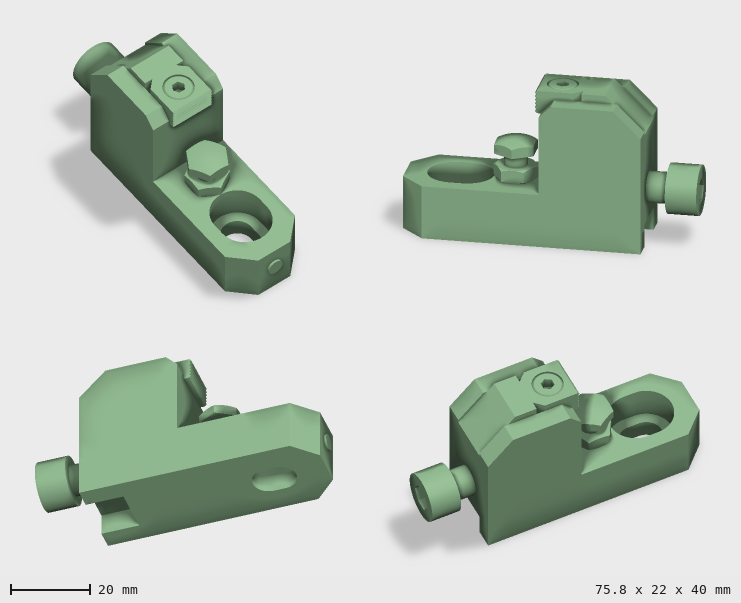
import cadquery as cq
import math


CUT_MARGIN = 0.75

HOUSING_LENGTH = 61.85
HOUSING_WIDTH = 22.0
HOUSING_HEIGHT = 38.0
TOWER_LENGTH = 26.0
LEDGE_HEIGHT = 14.0
FRONT_CHAMFER = 7.0
REAR_CHAMFER = 3.0
END_CHAMFER = 6.0
END_STUB_DIAMETER = 4.25
END_STUB_LENGTH = 0.6
END_STUB_HEIGHT = 8.0

MOUNT_X = 48.0
MOUNT_SLOT_WIDTH = 8.6
MOUNT_RECESS_WIDTH = 14.0
MOUNT_RECESS_DEPTH = 9.0
MOUNT_CENTRE_SPACING = 3.0

JAW_WIDTH = 12.0
JAW_BOTTOM = 6.0
JAW_TOP = 40.0
JAW_LENGTH = 28.0
JAW_CHAMFER = 10.0
LEG_THICKNESS = JAW_CHAMFER
ARM_THICKNESS = 6.0
ARM_BOTTOM = JAW_TOP - ARM_THICKNESS
TOOTH_COUNT = 6
TOOTH_PITCH = ARM_THICKNESS / TOOTH_COUNT
TOOTH_DEPTH = TOOTH_PITCH / 2
NOTCH_X = 16.0
NOTCH_SIZE = 2.3

SET_SCREW_X = 22.0
SET_SCREW_DIAMETER = 8.0
SET_SCREW_CHAMFER = 0.57
SET_SOCKET_FLATS = 3.0
SET_SOCKET_DEPTH = 3.0

CLAMP_SCREW_Z = LEDGE_HEIGHT
CLAMP_HEAD_DIAMETER = 12.95
CLAMP_HEAD_LENGTH = 8.0
CLAMP_SHANK_DIAMETER = 8.0
CLAMP_SHANK_LENGTH = 5.3
CLAMP_SOCKET_FLATS = 6.0
CLAMP_SOCKET_DEPTH = 4.0

STOP_X = 33.95
STOP_FLATS = 10.0
STOP_SHANK_DIAMETER = 6.0
STOP_SHANK_DEPTH = 8.0
STOP_HEAD_BOTTOM = 21.0
STOP_TOP = 25.0
STOP_DOME_RADIUS = 11.0
NUT_HEIGHT = 3.6
NUT_CHAMFER_ANGLE = 30


def hexagon_diameter(flats):
    """Diameter over the corners of a hexagon with the given size across flats."""
    return flats / math.cos(math.radians(30))


def hexagon_prism(flats, height, turn=0):
    """Upright hexagon on Z = 0 with a corner on the X axis, turned about Z."""
    prism = cq.Workplane("XY").polygon(6, hexagon_diameter(flats)).extrude(height)
    return prism.rotate((0, 0, 0), (0, 0, 1), turn)


def tooth_points():
    """Zigzag of V teeth down the end of the arm, from its top to its bottom."""
    root_x = JAW_LENGTH - TOOTH_DEPTH
    points = [(root_x, JAW_TOP)]
    for tooth in range(TOOTH_COUNT):
        tooth_top = JAW_TOP - tooth * TOOTH_PITCH
        points.append((JAW_LENGTH, tooth_top - TOOTH_PITCH / 2))
        points.append((root_x, tooth_top - TOOTH_PITCH))
    return points


def jaw_blank():
    """L-shaped jaw of leg and toothed arm, with a sloped upper front corner."""
    outline = [
        (LEG_THICKNESS, ARM_BOTTOM),
        (LEG_THICKNESS, JAW_BOTTOM),
        (0, JAW_BOTTOM),
        (0, JAW_TOP - JAW_CHAMFER),
        (JAW_CHAMFER, JAW_TOP),
        *tooth_points(),
    ]
    return cq.Workplane("XZ").polyline(outline).close().extrude(JAW_WIDTH / 2, both=True)


def slot_prism(width, bottom, top):
    """Round-ended upright prism at the mounting position."""
    return (
        cq.Workplane("XY", origin=(MOUNT_X, 0, bottom))
        .slot2D(MOUNT_CENTRE_SPACING + width, width)
        .extrude(top - bottom)
    )


def jaw_slot():
    """Cut in the housing for the jaw, open to the front, top, rear and underside."""
    leg_slot = cq.Workplane("XY").box(
        LEG_THICKNESS, JAW_WIDTH, HOUSING_HEIGHT, centered=(False, True, False)
    )
    arm_slot = cq.Workplane("XY", origin=(0, 0, ARM_BOTTOM)).box(
        TOWER_LENGTH, JAW_WIDTH, HOUSING_HEIGHT - ARM_BOTTOM, centered=(False, True, False)
    )
    return leg_slot.union(arm_slot)


def make_housing():
    outline = [
        (0, 0),
        (HOUSING_LENGTH, 0),
        (HOUSING_LENGTH, LEDGE_HEIGHT),
        (TOWER_LENGTH, LEDGE_HEIGHT),
        (TOWER_LENGTH, HOUSING_HEIGHT - REAR_CHAMFER),
        (TOWER_LENGTH - REAR_CHAMFER, HOUSING_HEIGHT),
        (FRONT_CHAMFER, HOUSING_HEIGHT),
        (0, HOUSING_HEIGHT - FRONT_CHAMFER),
    ]
    block = cq.Workplane("XZ").polyline(outline).close().extrude(HOUSING_WIDTH / 2, both=True)
    block = block.faces(">X").edges("|Z").chamfer(END_CHAMFER)

    stub = (
        cq.Workplane("YZ", origin=(HOUSING_LENGTH, 0, END_STUB_HEIGHT))
        .circle(END_STUB_DIAMETER / 2)
        .extrude(END_STUB_LENGTH)
    )
    mount_slot = slot_prism(MOUNT_SLOT_WIDTH, -CUT_MARGIN, LEDGE_HEIGHT)
    mount_recess = slot_prism(
        MOUNT_RECESS_WIDTH, LEDGE_HEIGHT - MOUNT_RECESS_DEPTH, LEDGE_HEIGHT + CUT_MARGIN
    )
    stop_hole = (
        cq.Workplane("XY", origin=(STOP_X, 0, LEDGE_HEIGHT))
        .circle(STOP_SHANK_DIAMETER / 2)
        .extrude(-STOP_SHANK_DEPTH)
    )
    return block.union(stub).cut(jaw_slot()).cut(mount_slot).cut(mount_recess).cut(stop_hole)


def side_notches():
    """Triangular notches through the arm on both sides."""
    edge_y = JAW_WIDTH / 2
    notch = (
        cq.Workplane("XY", origin=(0, 0, ARM_BOTTOM))
        .polyline([(NOTCH_X, edge_y), (NOTCH_X, edge_y - NOTCH_SIZE), (NOTCH_X + NOTCH_SIZE, edge_y)])
        .close()
        .extrude(ARM_THICKNESS)
    )
    return notch.union(notch.mirror("XZ"))


def set_screw_cuts():
    """Chamfer ring and hexagon socket of the set screw."""
    radius = SET_SCREW_DIAMETER / 2
    ring_profile = [
        (radius - SET_SCREW_CHAMFER, 0),
        (radius, 0),
        (radius, -SET_SCREW_CHAMFER),
    ]
    ring = cq.Workplane("XZ").polyline(ring_profile).close().revolve(360, (0, 0, 0), (0, 1, 0))
    socket = hexagon_prism(SET_SOCKET_FLATS, SET_SOCKET_DEPTH, turn=30)
    socket = socket.translate((0, 0, -SET_SOCKET_DEPTH))
    return ring.union(socket).translate((SET_SCREW_X, 0, JAW_TOP))


def clamp_screw():
    """Socket head and shank standing out of the front of the jaw."""
    head_start = -(CLAMP_SHANK_LENGTH + CLAMP_HEAD_LENGTH)
    head = (
        cq.Workplane("YZ", origin=(head_start, 0, CLAMP_SCREW_Z))
        .circle(CLAMP_HEAD_DIAMETER / 2)
        .extrude(CLAMP_HEAD_LENGTH)
    )
    shank = (
        cq.Workplane("YZ", origin=(-CLAMP_SHANK_LENGTH, 0, CLAMP_SCREW_Z))
        .circle(CLAMP_SHANK_DIAMETER / 2)
        .extrude(CLAMP_SHANK_LENGTH)
    )
    socket = (
        cq.Workplane("YZ", origin=(head_start, 0, CLAMP_SCREW_Z))
        .polygon(6, hexagon_diameter(CLAMP_SOCKET_FLATS))
        .extrude(CLAMP_SOCKET_DEPTH)
    )
    return head.union(shank).cut(socket)


def make_jaw():
    return jaw_blank().cut(side_notches()).cut(set_screw_cuts()).union(clamp_screw())


def domed_head():
    """Hexagon head under a spherical crown."""
    prism = hexagon_prism(STOP_FLATS, STOP_TOP - STOP_HEAD_BOTTOM, turn=30)
    prism = prism.translate((0, 0, STOP_HEAD_BOTTOM))
    crown = cq.Workplane("XY").sphere(STOP_DOME_RADIUS).translate((0, 0, STOP_TOP - STOP_DOME_RADIUS))
    return prism.intersect(crown)


def lock_nut():
    """Hexagon nut with its corners chamfered on both faces."""
    face_radius = STOP_FLATS / 2
    corner_radius = hexagon_diameter(STOP_FLATS) / 2
    chamfer_height = (corner_radius - face_radius) * math.tan(math.radians(NUT_CHAMFER_ANGLE))
    profile = [
        (0, 0),
        (face_radius, 0),
        (corner_radius, chamfer_height),
        (corner_radius, NUT_HEIGHT - chamfer_height),
        (face_radius, NUT_HEIGHT),
        (0, NUT_HEIGHT),
    ]
    blank = cq.Workplane("XZ").polyline(profile).close().revolve(360, (0, 0, 0), (0, 1, 0))
    return hexagon_prism(STOP_FLATS, NUT_HEIGHT).intersect(blank).translate((0, 0, LEDGE_HEIGHT))


def make_stop_bolt():
    shank_bottom = LEDGE_HEIGHT - STOP_SHANK_DEPTH
    shank = (
        cq.Workplane("XY", origin=(0, 0, shank_bottom))
        .circle(STOP_SHANK_DIAMETER / 2)
        .extrude(STOP_HEAD_BOTTOM - shank_bottom)
    )
    return shank.union(domed_head()).union(lock_nut()).translate((STOP_X, 0, 0))


housing = make_housing()
jaw = make_jaw()
stop_bolt = make_stop_bolt()

result = cq.Compound.makeCompound([housing.val(), jaw.val(), stop_bolt.val()])